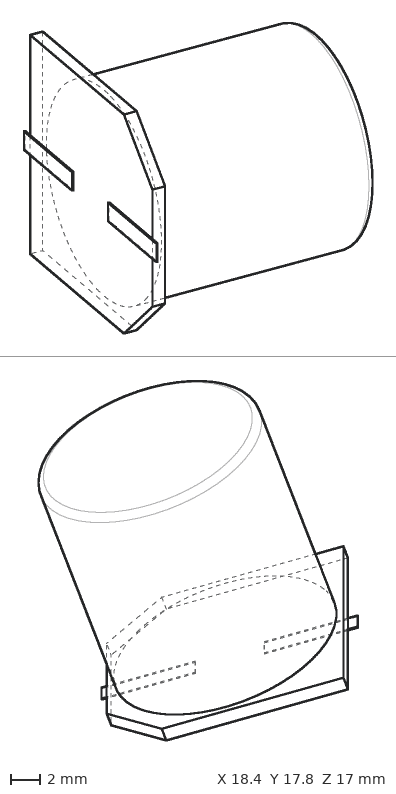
import cadquery as cq

lead_span = 18.4
total_depth = 17.81
base_side = 17.0

base_thickness = 1.0
corner_cut = 3.95

can_diameter = 16.0
can_edge_radius = 0.5

lead_length = 6.72
lead_width = 1.44
lead_thickness = 0.1

can_length = total_depth - lead_thickness - base_thickness


def make_base():
    """Plate with its outer face on Y = 0, growing toward +Y."""
    plate = cq.Workplane("XY").box(
        base_side, base_thickness, base_side, centered=(True, False, True)
    )
    return plate.edges("|Y and >X").chamfer(corner_cut)


def make_can():
    """Cylinder standing on the base, rounded at its far rim."""
    can = (
        cq.Workplane("XZ", origin=(0, base_thickness, 0))
        .circle(can_diameter / 2)
        .extrude(-can_length)
    )
    return can.faces(">Y").edges().fillet(can_edge_radius)


def make_lead(side):
    """Flat strip on the outer face of the base; side is -1 or +1 along X."""
    center_x = side * (lead_span - lead_length) / 2
    return cq.Workplane("XY", origin=(center_x, -lead_thickness / 2, 0)).box(
        lead_length, lead_thickness, lead_width
    )


result = make_base().union(make_can())
for side in (-1, 1):
    result = result.union(make_lead(side))